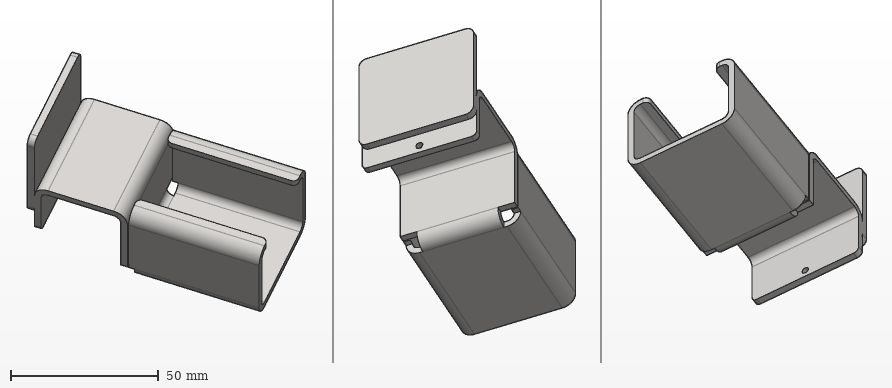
import cadquery as cq

length = 84.5
width = 42.5
height = 57.0
sheet = 2.45
bend_outer = 5.0
bend_inner = bend_outer - sheet

plate_thickness = 2.7
plate_bottom = 18.2
plate_corner = 2.95

bridge_top = 33.0
hook_front = 36.5
rear_leg_bottom = 10.0
rear_leg_corner = 2.0
hole_diameter = 2.45
hole_height = 13.0

wall_start = 37.0
neck_width = 30.1
lip_reach = 8.0
lip_corner = 2.0
floor_start = hook_front - sheet + bend_outer


def box(x_range, y_range, z_range):
    """Make a block from its limits along each axis."""
    limits = (x_range, y_range, z_range)
    sizes = [high - low for low, high in limits]
    corner = tuple(low for low, high in limits)
    return cq.Workplane("XY").box(*sizes, centered=False).translate(corner)


def make_plate():
    plate = box((0, plate_thickness), (-width / 2, width / 2), (plate_bottom, height))
    return plate.edges("|X").fillet(plate_corner)


def make_hook():
    outline = (
        cq.Workplane("XZ")
        .moveTo(plate_thickness + sheet, rear_leg_bottom)
        .lineTo(plate_thickness + sheet, bridge_top - bend_outer)
        .radiusArc((plate_thickness + bend_outer, bridge_top - sheet), bend_inner)
        .lineTo(hook_front - bend_outer, bridge_top - sheet)
        .radiusArc((hook_front - sheet, bridge_top - bend_outer), bend_inner)
        .lineTo(hook_front - sheet, bend_outer)
        .lineTo(hook_front, bend_outer)
        .lineTo(hook_front, bridge_top - bend_outer)
        .radiusArc((hook_front - bend_outer, bridge_top), -bend_outer)
        .lineTo(plate_thickness + bend_outer, bridge_top)
        .radiusArc((plate_thickness, bridge_top - bend_outer), -bend_outer)
        .lineTo(plate_thickness, rear_leg_bottom)
        .close()
    )
    hook = outline.extrude(width / 2, both=True)
    lower_corners = cq.selectors.BoxSelector(
        (0, -width, 0),
        (plate_thickness + bend_outer, width, rear_leg_bottom + rear_leg_corner),
    )
    hook = hook.edges("|X").edges(lower_corners).fillet(rear_leg_corner)
    hole = (
        cq.Workplane("YZ")
        .center(0, hole_height)
        .circle(hole_diameter / 2)
        .extrude(plate_thickness + bend_outer)
    )
    return hook.cut(hole)


def make_neck():
    """Narrow bend joining the front leg to the tray floor."""
    return (
        cq.Workplane("XZ")
        .moveTo(hook_front - sheet, bend_outer)
        .radiusArc((floor_start, 0), -bend_outer)
        .lineTo(floor_start, sheet)
        .radiusArc((hook_front, bend_outer), bend_inner)
        .close()
        .extrude(neck_width / 2, both=True)
    )


def make_tray():
    y_ranges = (-width / 2, width / 2)
    tray = box((wall_start, length), y_ranges, (0, bridge_top)).edges("|X").fillet(bend_outer)
    cavity = box(
        (wall_start, length),
        (-width / 2 + sheet, width / 2 - sheet),
        (sheet, bridge_top - sheet),
    )
    tray = tray.cut(cavity.edges("|X").fillet(bend_inner))

    tray = tray.cut(box((wall_start, floor_start), y_ranges, (0, bend_outer)))

    lips_width = width - 2 * lip_reach
    lip_zone = (bridge_top - bend_outer, bridge_top)
    opening = box((wall_start, length), (-lips_width / 2, lips_width / 2), lip_zone)
    tray = tray.cut(opening)
    for side in (-1, 1):
        for end_x, inward in ((wall_start, 1), (length, -1)):
            edge_y = side * lips_width / 2
            corner = (
                cq.Workplane("XY", origin=(0, 0, bridge_top - bend_outer))
                .moveTo(end_x, edge_y)
                .lineTo(end_x + inward * lip_corner, edge_y)
                .radiusArc((end_x, edge_y + side * lip_corner), side * inward * lip_corner)
                .close()
                .extrude(bend_outer)
            )
            tray = tray.cut(corner)
    return tray


result = make_plate().union(make_hook()).union(make_neck()).union(make_tray())